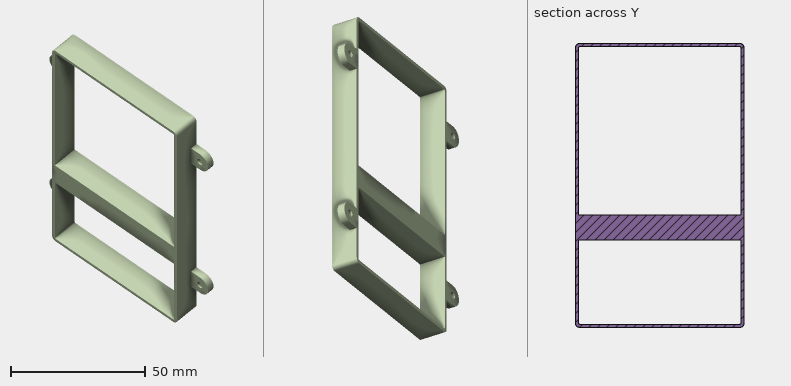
import cadquery as cq

overall_width = 80.3
frame_width = 63.05
frame_height = 106.05
frame_depth = 10.87
wall = 1.35
outer_corner_radius = 1.85
crossbar_height = 9.5
upper_opening_height = 62.65
ear_width = 8.5
ear_thickness = 3.0
ear_spacing = 68.7
ear_hole_diameter = 2.7

inner_corner_radius = outer_corner_radius - wall
inner_width = frame_width - 2 * wall
inner_height = frame_height - 2 * wall
ear_radius = ear_width / 2
ear_centre_x = overall_width / 2 - ear_radius
ear_root_x = frame_width / 2 - wall / 2
back_y = frame_depth / 2
crossbar_centre_z = inner_height / 2 - upper_opening_height - crossbar_height / 2


def rounded_block(width, height, corner_radius):
    """Full-depth rectangular block with its four Y-parallel edges rounded."""
    return cq.Workplane("XY").box(width, frame_depth, height).edges("|Y").fillet(corner_radius)


def make_frame():
    """Open rectangular frame with a full-depth bar dividing its opening."""
    outside = rounded_block(frame_width, frame_height, outer_corner_radius)
    opening = rounded_block(inner_width, inner_height, inner_corner_radius)
    crossbar = (
        cq.Workplane("XY")
        .box(inner_width + wall, frame_depth, crossbar_height)
        .translate((0, 0, crossbar_centre_z))
    )
    return outside.cut(opening).union(crossbar)


def make_ear(side, centre_z):
    """Round-ended mounting ear, flush with the back; side is +1 or -1 along X."""
    root_x = side * ear_root_x
    centre_x = side * ear_centre_x
    tip_x = side * overall_width / 2
    top_z = centre_z + ear_radius
    bottom_z = centre_z - ear_radius
    back_plane = cq.Workplane("XZ", origin=(0, back_y, 0))
    tab = (
        back_plane.moveTo(root_x, bottom_z)
        .lineTo(centre_x, bottom_z)
        .threePointArc((tip_x, centre_z), (centre_x, top_z))
        .lineTo(root_x, top_z)
        .close()
        .extrude(ear_thickness)
    )
    hole = back_plane.center(centre_x, centre_z).circle(ear_hole_diameter / 2).extrude(ear_thickness)
    return tab.cut(hole)


result = make_frame()
for side in (-1, 1):
    for centre_z in (-ear_spacing / 2, ear_spacing / 2):
        result = result.union(make_ear(side, centre_z))